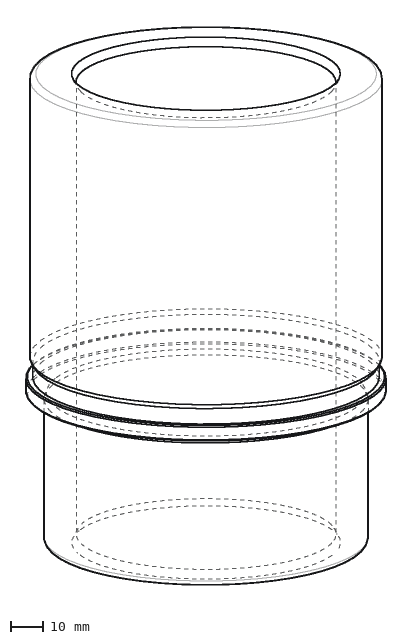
import cadquery as cq

height = 150.0
spigot_radius = 50.0
shoulder_radius = 49.2
flange_radius = 55.5
neck_radius = 53.4
body_radius = 54.3
bore_radius = 40.0

shoulder_start = 45.9
flange_bottom = 48.0
flange_top = 53.0
neck_top = 57.9
body_bottom = 59.4

rim_fillet = 1.8
foot_fillet = 1.8
flange_chamfer = 0.5
bore_chamfer_width = 1.4
bore_chamfer_depth = 2.7


def turned_outside():
    """Solid of revolution carrying every outer step of the sleeve."""
    return (
        cq.Workplane("XZ")
        .moveTo(0, 0)
        .lineTo(spigot_radius - foot_fillet, 0)
        .radiusArc((spigot_radius, foot_fillet), -foot_fillet)
        .lineTo(spigot_radius, shoulder_start)
        .lineTo(shoulder_radius, flange_bottom)
        .lineTo(flange_radius - flange_chamfer, flange_bottom)
        .lineTo(flange_radius, flange_bottom + flange_chamfer)
        .lineTo(flange_radius, flange_top - flange_chamfer)
        .lineTo(flange_radius - flange_chamfer, flange_top)
        .lineTo(neck_radius, flange_top)
        .lineTo(neck_radius, neck_top)
        .lineTo(body_radius, body_bottom)
        .lineTo(body_radius, height - rim_fillet)
        .radiusArc((body_radius - rim_fillet, height), -rim_fillet)
        .lineTo(0, height)
        .close()
        .revolve(360, (0, 0, 0), (0, 1, 0))
    )


def chamfered_bore():
    """Through bore that widens conically at both ends."""
    mouth_radius = bore_radius + bore_chamfer_width
    return (
        cq.Workplane("XZ")
        .moveTo(0, 0)
        .lineTo(mouth_radius, 0)
        .lineTo(bore_radius, bore_chamfer_depth)
        .lineTo(bore_radius, height - bore_chamfer_depth)
        .lineTo(mouth_radius, height)
        .lineTo(0, height)
        .close()
        .revolve(360, (0, 0, 0), (0, 1, 0))
    )


result = turned_outside().cut(chamfered_bore())